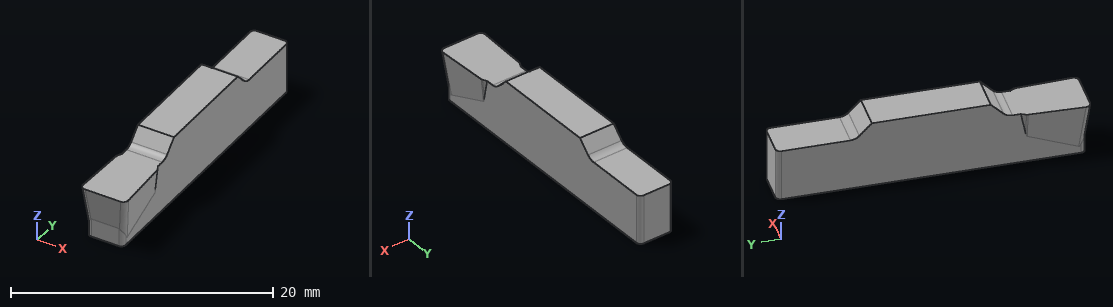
import cadquery as cq
import math

LENGTH = 24.8
HEIGHT = 5.78

SHANK_WIDTH = 3.23
LEDGE_HEIGHT = 4.5
CORNER_RADIUS = 0.4

CREST_START = 7.86
CREST_END = 17.27
RAMP_ANGLE = 45
RAMP_RADIUS = 1

HEAD_WIDTH = 4.05
HEAD_CORNER_RADIUS = 0.45
FRONT_CLEARANCE = 7
SIDE_CLEARANCE = 5.8
SIDE_RELIEF = 2.4
HEAD_LENGTH = 5.05
NECK_RUN_PER_WIDTH = 2
NECK_EDGE_RADIUS = 0.3
LAND_DEPTH = 2.83


def slope(angle):
    return math.tan(math.radians(angle))


SHANK_START = LAND_DEPTH * slope(FRONT_CLEARANCE)


def make_shank():
    ramp_run = (HEIGHT - LEDGE_HEIGHT) / slope(RAMP_ANGLE)
    front_foot = CREST_START - ramp_run
    rear_foot = CREST_END + ramp_run
    profile = [
        (SHANK_START, 0),
        (LENGTH, 0),
        (LENGTH, LEDGE_HEIGHT),
        (rear_foot, LEDGE_HEIGHT),
        (CREST_END, HEIGHT),
        (CREST_START, HEIGHT),
        (front_foot, LEDGE_HEIGHT),
        (SHANK_START, LEDGE_HEIGHT),
    ]
    shank = cq.Workplane("YZ").polyline(profile).close().extrude(SHANK_WIDTH / 2, both=True)
    shank = shank.edges("|Z").fillet(CORNER_RADIUS)
    for foot in (front_foot, rear_foot):
        foot_edge = cq.selectors.NearestToPointSelector((0, foot, LEDGE_HEIGHT))
        shank = shank.edges("|X").edges(foot_edge).fillet(RAMP_RADIUS)
    return shank


def head_outline(depth):
    """Corner points of the head at a given depth below the ledge."""
    front = depth * slope(FRONT_CLEARANCE)
    inset = depth * slope(SIDE_CLEARANCE)
    widest_half = HEAD_WIDTH / 2 - inset
    front_half = widest_half + (HEAD_CORNER_RADIUS - front) * slope(SIDE_RELIEF)
    rear_half = widest_half - (HEAD_LENGTH - HEAD_CORNER_RADIUS) * slope(SIDE_RELIEF)
    root_half = rear_half - SHANK_WIDTH / 4
    root = HEAD_LENGTH + (rear_half - root_half) * NECK_RUN_PER_WIDTH
    right_side = [(front_half, front), (rear_half, HEAD_LENGTH), (root_half, root)]
    left_side = [(-x, y) for x, y in reversed(right_side)]
    return right_side + left_side


def make_head():
    head = (
        cq.Workplane("XY")
        .polyline(head_outline(LEDGE_HEIGHT)).close()
        .workplane(offset=LEDGE_HEIGHT)
        .polyline(head_outline(0)).close()
        .loft(ruled=True)
    )
    middle_outline = head_outline(LEDGE_HEIGHT / 2)
    front_corner = middle_outline[0]
    neck_corner = middle_outline[1]
    for (x, y), radius in ((front_corner, HEAD_CORNER_RADIUS), (neck_corner, NECK_EDGE_RADIUS)):
        for side in (-1, 1):
            corner_edge = cq.selectors.NearestToPointSelector((side * x, y, LEDGE_HEIGHT / 2))
            head = head.edges(corner_edge).fillet(radius)
    return head


result = make_shank().union(make_head())